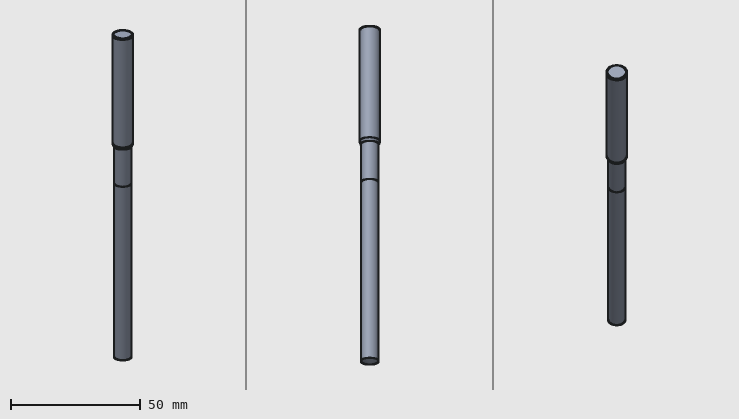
import cadquery as cq
import math

total_length = 140.0
shank_diameter = 8.0
drill_diameter = 6.9

shank_bottom = 93.2
neck_top = 92.0
cutter_top = 76.0

end_chamfer = 0.4
point_angle = 140.0


def make_shank():
    """Chamfered cylindrical shank that tapers into a slimmer neck."""
    shank_radius = shank_diameter / 2
    neck_radius = drill_diameter / 2
    profile = (
        cq.Workplane("XZ")
        .moveTo(0, cutter_top)
        .lineTo(neck_radius, cutter_top)
        .lineTo(neck_radius, neck_top)
        .lineTo(shank_radius, shank_bottom)
        .lineTo(shank_radius, total_length - end_chamfer)
        .lineTo(shank_radius - end_chamfer, total_length)
        .lineTo(0, total_length)
        .close()
    )
    return profile.revolve(360, (0, 0, 0), (0, 1, 0))


def make_cutter():
    """Plain cylindrical cutting section with a conical drill point."""
    cutter_radius = drill_diameter / 2
    point_height = cutter_radius / math.tan(math.radians(point_angle / 2))
    profile = (
        cq.Workplane("YZ")
        .moveTo(0, 0)
        .lineTo(cutter_radius, point_height)
        .lineTo(cutter_radius, cutter_top)
        .lineTo(0, cutter_top)
        .close()
    )
    return profile.revolve(360, (0, 0, 0), (0, 1, 0))


shank = make_shank()
cutter = make_cutter()

result = cq.Compound.makeCompound([shank.val(), cutter.val()])